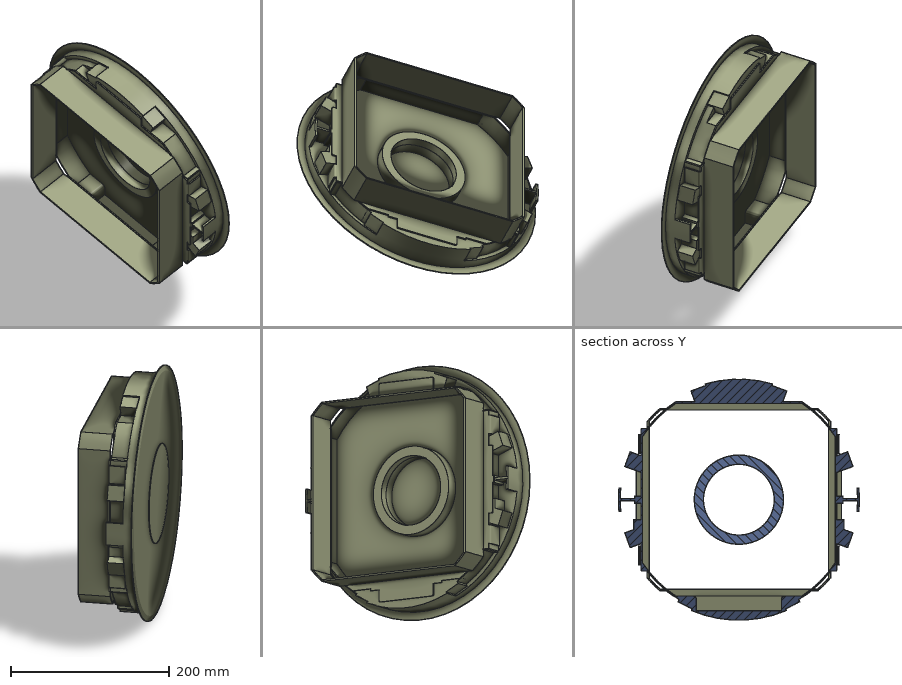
import cadquery as cq
import math

LID_THICKNESS = 1.0
COVER_FRONT = 4.0
COVER_RIM_BACK = 3.0
RING_FLOOR = 12.0
POCKET_FLOOR = 16.6
RAISED_POCKET_FLOOR = 25.4
SPIGOT_FRONT = 17.3
TUBE_FRONT = 28.2
RING_FRONT = 38.2
PLATE_THICKNESS = 1.8
PLATE_FRONT = RING_FRONT + PLATE_THICKNESS
FRAME_FRONT = 81.0

COVER_RADIUS = 162.5
COVER_BACK_RADIUS = 155.5
LID_RADIUS = 63.5

RING_RADIUS = 152.2
POCKET_RADIUS = 147.0
CAVITY_RADIUS = 145.2
FLAT_WALL_OUTER = 123.7
FLAT_WALL_INNER = 121.3
SIDE_WALL_HALF_HEIGHT = 90.0
BLOCK_FLAT_DISTANCE = 149.7
BLOCK_INNER_DISTANCE = 120.0
BLOCK_WIDTH = 20.0
BLOCK_ANGLE = 20.0
LOWER_BLOCK_ANGLE = 27.0
SHELL_HALF_HEIGHT = 15.0
SHELL_INNER_RADIUS = 149.5
RIB_HEIGHT = 3.0
BUMP_X = 131.5
BUMP_HEIGHT = 9.2
STEP_X = 132.7
STEP_TOP = -25.0
STEP_BOTTOM = -42.0
RECESS_HALF_WIDTH = 53.5
RECESS_BOTTOM = 140.0
RECESS_COVER = 2.0
RECESS_MOUTH_RADIUS = 5.0

TUBE_RADIUS = 56.5
BORE_RADIUS = 44.5
SPIGOT_RADIUS = (TUBE_RADIUS + BORE_RADIUS) / 2

FRAME_WIDTH = 232.0
FRAME_HEIGHT = 230.0
FRAME_OPENING = 226.0
FRAME_CORNER_RADIUS = 152.2
FRAME_CORNER_WALL = 2.0

PLATE_INNER = FRAME_OPENING / 2
SIDE_PLATE_HALF_LENGTH = 88.7
SIDE_TONGUE_HALF_LENGTH = 43.5
SIDE_TONGUE_X = 129.6
END_TONGUE_HALF_WIDTH = 40.6
TOP_TONGUE_Z = 139.6
TOP_SHOULDER_Z = FLAT_WALL_OUTER
BOTTOM_TONGUE_Z = 141.2
BOTTOM_SHOULDER_Z = 125.4
BOTTOM_OUTER_SHOULDER_Z = 122.8
BOTTOM_SHOULDER_HALF_WIDTH = 53.0
TONGUE_FILLET = 2.0
TAB_CENTRE_Z = 70.4
TAB_WIDTH = 24.0
TAB_END = 18.8
BEND_RADIUS = 3.0


def at_depth(depth):
    """Sketch plane facing the front, with local axes X and Z."""
    return cq.Workplane("XZ", origin=(0, -depth, 0))


def disc(radius, back, front):
    """Disc on the Y axis, with the seam of its round face at +Z."""
    return at_depth(back).transformed(rotate=(0, 0, 90)).circle(radius).extrude(front - back)


def box(x_min, x_max, z_min, z_max, back, front):
    width = x_max - x_min
    height = z_max - z_min
    centre = ((x_min + x_max) / 2, (z_min + z_max) / 2)
    return at_depth(back).center(*centre).rect(width, height).extrude(front - back)


def centred_box(half_width, half_height, back, front):
    return box(-half_width, half_width, -half_height, half_height, back, front)


def mirror_x(shape):
    return shape.mirror("YZ")


def make_cover():
    profile = [
        (0, -LID_THICKNESS),
        (COVER_BACK_RADIUS, -LID_THICKNESS),
        (COVER_RADIUS, -COVER_RIM_BACK),
        (COVER_RADIUS, -COVER_FRONT),
        (0, -COVER_FRONT),
    ]
    return cq.Workplane("XY").polyline(profile).close().revolve(360, (0, 0), (0, 1))


def make_block(angle):
    """Flat-topped block whose centre line leaves the ring axis at this angle from +X."""
    length = BLOCK_FLAT_DISTANCE - BLOCK_INNER_DISTANCE
    middle = BLOCK_INNER_DISTANCE + length / 2
    sketch = at_depth(POCKET_FLOOR).transformed(rotate=(0, 0, angle))
    return sketch.center(middle, 0).rect(length, BLOCK_WIDTH).extrude(RING_FRONT - POCKET_FLOOR)


def make_end_sector(angle_from_z, toward):
    """Solid end of the ring between two flat-topped blocks (toward is 1 for +Z, -1 for -Z)."""
    half = math.radians(angle_from_z)
    reach = BLOCK_FLAT_DISTANCE * math.sin(half)
    inset = BLOCK_WIDTH / 2 * math.cos(half)
    rim_x = reach - inset
    rim_z = BLOCK_FLAT_DISTANCE * math.cos(half) + BLOCK_WIDTH / 2 * math.sin(half)
    slope = math.tan(half)
    base_x = rim_x - (rim_z - BLOCK_INNER_DISTANCE) * slope
    far_x = rim_x + (RING_RADIUS - rim_z) * slope
    outline = [
        (-base_x, toward * BLOCK_INNER_DISTANCE),
        (base_x, toward * BLOCK_INNER_DISTANCE),
        (far_x, toward * RING_RADIUS),
        (-far_x, toward * RING_RADIUS),
    ]
    sector = at_depth(POCKET_FLOOR).polyline(outline).close().extrude(RING_FRONT - POCKET_FLOOR)
    return sector.intersect(disc(RING_RADIUS, POCKET_FLOOR, RING_FRONT))


def side_box(inner, outer, z_min, z_max):
    """Box on the -X side of the ring, from the pocket floor to the ring front."""
    return box(-outer, -inner, z_min, z_max, POCKET_FLOOR, RING_FRONT)


def make_side_details():
    """Features standing in the -X side pocket, outside the flat wall."""
    shell = disc(RING_RADIUS, POCKET_FLOOR, RING_FRONT)
    shell = shell.cut(disc(SHELL_INNER_RADIUS, POCKET_FLOOR, RING_FRONT))
    shell = shell.intersect(side_box(0, RING_RADIUS, -SHELL_HALF_HEIGHT, SHELL_HALF_HEIGHT))
    shell_middle = (SHELL_INNER_RADIUS + RING_RADIUS) / 2
    rib = side_box(FLAT_WALL_INNER, shell_middle, -RIB_HEIGHT / 2, RIB_HEIGHT / 2)
    bump = side_box(FLAT_WALL_INNER, BUMP_X, -BUMP_HEIGHT / 2, BUMP_HEIGHT / 2)
    step = side_box(FLAT_WALL_INNER, STEP_X, STEP_BOTTOM, STEP_TOP)
    blocks = make_block(180 - BLOCK_ANGLE).union(make_block(180 + BLOCK_ANGLE))
    return shell.union(rib).union(bump).union(step).union(blocks)


def make_core():
    """Round core of the ring, flat on both X sides and at +Z, with the +Z cut deeper on the +X side."""
    core = disc(POCKET_RADIUS, POCKET_FLOOR, RING_FRONT).intersect(
        centred_box(FLAT_WALL_OUTER, POCKET_RADIUS, POCKET_FLOOR, RING_FRONT)
    )
    for x_end, floor in ((-POCKET_RADIUS, RAISED_POCKET_FLOOR), (POCKET_RADIUS, POCKET_FLOOR)):
        x_min = min(x_end, 0)
        x_max = max(x_end, 0)
        core = core.cut(box(x_min, x_max, FLAT_WALL_OUTER, POCKET_RADIUS, floor, RING_FRONT))
    return core


def make_ring():
    side_walls = centred_box(FLAT_WALL_OUTER, SIDE_WALL_HALF_HEIGHT, POCKET_FLOOR, RING_FRONT)
    side_walls = side_walls.intersect(disc(RING_RADIUS, POCKET_FLOOR, RING_FRONT))
    ring = disc(RING_RADIUS, COVER_FRONT, POCKET_FLOOR).union(make_core()).union(side_walls)

    ring = ring.union(make_end_sector(BLOCK_ANGLE, 1))
    ring = ring.union(make_end_sector(LOWER_BLOCK_ANGLE, -1))
    for angle in (90 - BLOCK_ANGLE, 90 + BLOCK_ANGLE, 270 - LOWER_BLOCK_ANGLE, 270 + LOWER_BLOCK_ANGLE):
        ring = ring.union(make_block(angle))

    side_details = make_side_details()
    ring = ring.union(side_details).union(mirror_x(side_details))

    cavity = disc(CAVITY_RADIUS, RING_FLOOR, RING_FRONT).intersect(
        centred_box(FLAT_WALL_INNER, FLAT_WALL_INNER, RING_FLOOR, RING_FRONT)
    )
    ring = ring.cut(cavity.union(make_lower_recess()))
    ring = ring.union(disc(SPIGOT_RADIUS, RING_FLOOR, SPIGOT_FRONT))
    return ring.cut(disc(BORE_RADIUS, COVER_FRONT, SPIGOT_FRONT))


def make_lower_recess():
    """Recess behind the front face at the -Z end, with a rounded mouth."""
    r = RECESS_MOUTH_RADIUS
    w = RECESS_HALF_WIDTH
    mouth = -FLAT_WALL_INNER
    return (
        at_depth(RING_FLOOR)
        .moveTo(-w - r, mouth)
        .lineTo(w + r, mouth)
        .radiusArc((w, mouth - r), -r)
        .lineTo(w, -RECESS_BOTTOM)
        .lineTo(-w, -RECESS_BOTTOM)
        .lineTo(-w, mouth - r)
        .radiusArc((-w - r, mouth), -r)
        .close()
        .extrude(RING_FRONT - RECESS_COVER - RING_FLOOR)
    )


def make_tube():
    tube = disc(TUBE_RADIUS, RING_FLOOR, TUBE_FRONT)
    tube = tube.cut(disc(BORE_RADIUS, RING_FLOOR, TUBE_FRONT))
    return tube.cut(disc(SPIGOT_RADIUS, RING_FLOOR, SPIGOT_FRONT))


def make_frame():
    outer = centred_box(FRAME_WIDTH / 2, FRAME_HEIGHT / 2, PLATE_FRONT, FRAME_FRONT)
    outer = outer.intersect(disc(FRAME_CORNER_RADIUS, PLATE_FRONT, FRAME_FRONT))
    opening = centred_box(FRAME_OPENING / 2, FRAME_OPENING / 2, PLATE_FRONT, FRAME_FRONT)
    opening = opening.intersect(disc(FRAME_CORNER_RADIUS - FRAME_CORNER_WALL, PLATE_FRONT, FRAME_FRONT))
    return outer.cut(opening)


def make_end_plate(shoulders, tongue_z):
    """Flat plate at the +Z end: shoulders of (half width, height) plus a central tongue."""
    tongue_half = END_TONGUE_HALF_WIDTH
    plate = box(-tongue_half, tongue_half, PLATE_INNER, tongue_z, RING_FRONT, PLATE_FRONT)
    plate = plate.edges("|Y and >Z").fillet(TONGUE_FILLET)
    for half_width, height in shoulders:
        plate = plate.union(box(-half_width, half_width, PLATE_INNER, height, RING_FRONT, PLATE_FRONT))
    return plate.intersect(disc(POCKET_RADIUS, RING_FRONT, PLATE_FRONT))


def make_bent_tab(centre_z):
    """Tab bent back from the -X edge of a side plate."""
    edge_x = -FLAT_WALL_OUTER
    outer_x = edge_x - BEND_RADIUS
    inner_x = outer_x + PLATE_THICKNESS
    inner_bend = BEND_RADIUS - PLATE_THICKNESS
    profile = (
        cq.Workplane("XY", origin=(0, 0, centre_z - TAB_WIDTH / 2))
        .moveTo(edge_x, -PLATE_FRONT)
        .radiusArc((outer_x, -PLATE_FRONT + BEND_RADIUS), BEND_RADIUS)
        .lineTo(outer_x, -TAB_END)
        .lineTo(inner_x, -TAB_END)
        .lineTo(inner_x, -RING_FRONT + inner_bend)
        .radiusArc((edge_x, -RING_FRONT), -inner_bend)
        .close()
    )
    return profile.extrude(TAB_WIDTH)


def side_plate_box(outer, half_length):
    return box(-outer, -PLATE_INNER, -half_length, half_length, RING_FRONT, PLATE_FRONT)


def make_side_plate():
    """Plate on the -X side with a central tongue, a small nub and two bent tabs."""
    tongue = side_plate_box(SIDE_TONGUE_X, SIDE_TONGUE_HALF_LENGTH)
    plate = side_plate_box(FLAT_WALL_OUTER, SIDE_PLATE_HALF_LENGTH)
    plate = plate.union(tongue.edges("|Y and <X").fillet(TONGUE_FILLET))
    plate = plate.union(side_plate_box(BUMP_X, BUMP_HEIGHT / 2))
    for centre_z in (-TAB_CENTRE_Z, TAB_CENTRE_Z):
        plate = plate.union(make_bent_tab(centre_z))
    return plate


lid = disc(LID_RADIUS, 0, LID_THICKNESS)
cover = make_cover()
ring = make_ring()
tube = make_tube()
frame = make_frame()
top_plate = make_end_plate([(POCKET_RADIUS, TOP_SHOULDER_Z)], TOP_TONGUE_Z)
bottom_plate = make_end_plate(
    [
        (POCKET_RADIUS, BOTTOM_OUTER_SHOULDER_Z),
        (BOTTOM_SHOULDER_HALF_WIDTH, BOTTOM_SHOULDER_Z),
    ],
    BOTTOM_TONGUE_Z,
).mirror("XY")
left_plate = make_side_plate()
right_plate = mirror_x(left_plate)

result = cq.Compound.makeCompound(
    [
        lid.val(),
        cover.val(),
        ring.val(),
        tube.val(),
        frame.val(),
        top_plate.val(),
        bottom_plate.val(),
        left_plate.val(),
        right_plate.val(),
    ]
)